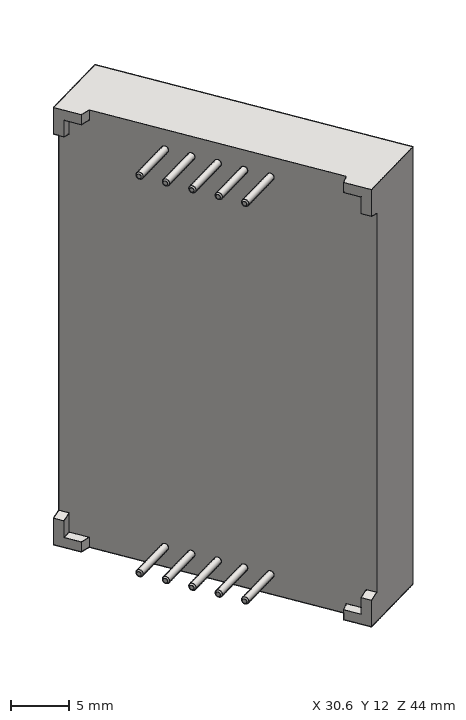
import cadquery as cq

WIDTH = 30.62
HEIGHT = 44.0
OVERALL_DEPTH = 12.0
BODY_DEPTH = 7.0

FOOT_HEIGHT = 1.0
LEG_WIDTH = 1.0
LEG_LENGTH_BASE = 2.95
LEG_LENGTH_TIP = 2.7

PINS_PER_ROW = 5
PIN_ROW_LENGTH = 10.15
PIN_ROW_SPACING = 40.0
PIN_DIAMETER = 0.7
PIN_TIP_CHAMFER = 0.15

BACK_Y = OVERALL_DEPTH / 2
FRONT_Y = BACK_Y - BODY_DEPTH
FOOT_TIP_Y = FRONT_Y - FOOT_HEIGHT
PIN_PITCH = PIN_ROW_LENGTH / (PINS_PER_ROW - 1)
PIN_LENGTH = OVERALL_DEPTH - BODY_DEPTH


def make_body():
    body_centre_y = (BACK_Y + FRONT_Y) / 2
    return cq.Workplane("XY", origin=(0, body_centre_y, 0)).box(WIDTH, BODY_DEPTH, HEIGHT)


def leg_profile(plane, half_side):
    """Sketch a leg from the corner at -half_side; its end slopes between base and tip."""
    corner = -half_side
    return plane.polyline([
        (corner, FRONT_Y),
        (corner + LEG_LENGTH_BASE, FRONT_Y),
        (corner + LEG_LENGTH_TIP, FOOT_TIP_Y),
        (corner, FOOT_TIP_Y),
    ]).close()


def make_foot():
    """Build the foot at the -X, -Z corner."""
    horizontal_plane = cq.Workplane("XY", origin=(0, 0, -HEIGHT / 2))
    horizontal_leg = leg_profile(horizontal_plane, WIDTH / 2).extrude(LEG_WIDTH)

    upright_plane = cq.Workplane(
        cq.Plane(origin=(-WIDTH / 2, 0, 0), xDir=(0, 0, 1), normal=(-1, 0, 0))
    )
    upright_leg = leg_profile(upright_plane, HEIGHT / 2).extrude(-LEG_WIDTH)
    return horizontal_leg.union(upright_leg)


def make_pins():
    first_pin_x = -PIN_ROW_LENGTH / 2
    positions = [
        (first_pin_x + column * PIN_PITCH, row_z)
        for row_z in (-PIN_ROW_SPACING / 2, PIN_ROW_SPACING / 2)
        for column in range(PINS_PER_ROW)
    ]
    return (
        cq.Workplane("XZ", origin=(0, FRONT_Y, 0))
        .pushPoints(positions)
        .circle(PIN_DIAMETER / 2)
        .extrude(PIN_LENGTH)
        .faces("<Y")
        .edges()
        .chamfer(PIN_TIP_CHAMFER)
    )


foot = make_foot()
feet_at_bottom = foot.union(foot.mirror("YZ"))
feet = feet_at_bottom.union(feet_at_bottom.mirror("XY"))

result = make_body().union(feet).union(make_pins())